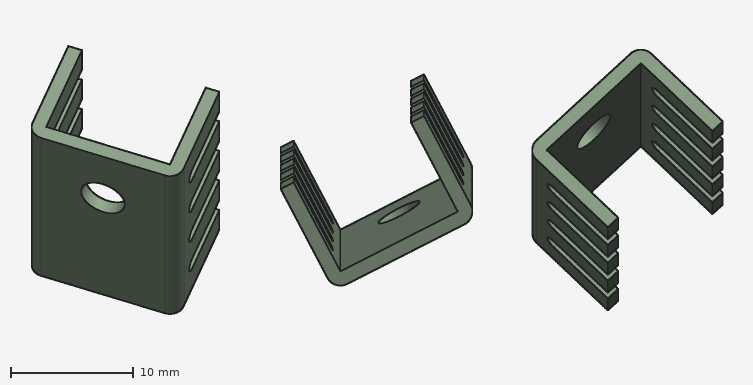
import cadquery as cq

width = 13.21
depth = 9.53
height = 19.05

thickness = 1.2
bend_radius = thickness

hole_diameter = 3.81
hole_from_top = 5.715

slot_count = 4
fin_count = slot_count + 1
fin_to_slot_ratio = 2
slot_width = height / (fin_count * fin_to_slot_ratio + slot_count)
fin_height = fin_to_slot_ratio * slot_width
slot_pitch = fin_height + slot_width
slot_depth = 7.04


def make_channel():
    """U-channel with its base wall on Y = 0, open toward +Y, rounded outer bends."""
    block = (
        cq.Workplane("XY")
        .box(width, depth, height, centered=(True, False, False))
        .edges("|Z and <Y")
        .fillet(bend_radius)
    )
    cavity = (
        cq.Workplane("XY")
        .box(width - 2 * thickness, depth - thickness, height, centered=(True, False, False))
        .translate((0, thickness, 0))
    )
    return block.cut(cavity)


def make_mounting_hole():
    """Cylinder that pierces only the base wall."""
    return (
        cq.Workplane("XZ")
        .center(0, height - hole_from_top)
        .circle(hole_diameter / 2)
        .extrude(-thickness)
    )


def make_fin_slot(center_z):
    """Slot cutting both side walls, open at their free edges, with a full-round inner end."""
    half_width = slot_width / 2
    slot_end = depth - slot_depth
    arc_start = slot_end + half_width
    return (
        cq.Workplane("YZ")
        .moveTo(depth, center_z - half_width)
        .lineTo(arc_start, center_z - half_width)
        .threePointArc((slot_end, center_z), (arc_start, center_z + half_width))
        .lineTo(depth, center_z + half_width)
        .close()
        .extrude(width / 2, both=True)
    )


result = make_channel().cut(make_mounting_hole())

first_slot_z = fin_height + slot_width / 2
for slot_index in range(slot_count):
    result = result.cut(make_fin_slot(first_slot_z + slot_index * slot_pitch))